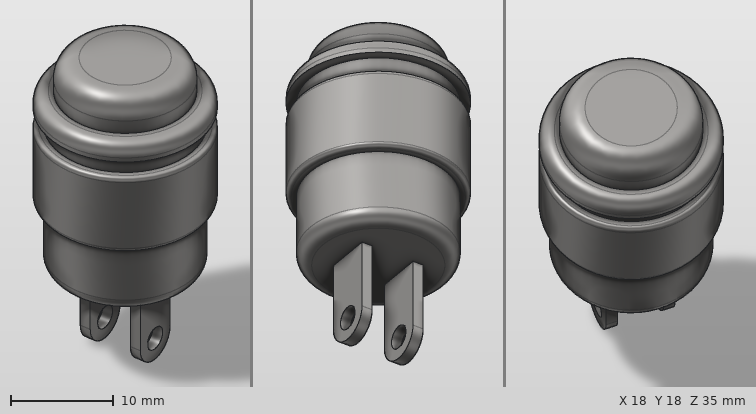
import cadquery as cq

terminal_length = 10.0
lower_barrel_height = 8.0
sleeve_height = 9.0
groove_height = 2.0
flange_height = 2.0
button_height = 4.0

body_bottom = terminal_length
sleeve_bottom = body_bottom + lower_barrel_height
flange_bottom = sleeve_bottom + sleeve_height + groove_height
flange_top = flange_bottom + flange_height

body_diameter = 16.0
collar_diameter = 18.0
button_diameter = 14.0
body_bottom_fillet = 1.5
sleeve_fillet = 0.5
flange_fillet = 1.5
button_fillet = 2.5

terminal_thickness = 1.2
terminal_width = 5.0
terminal_spacing = 6.0
terminal_hole_diameter = 2.5


def cylinder(diameter, bottom, height):
    return cq.Workplane("XY").workplane(offset=bottom).circle(diameter / 2).extrude(height)


def make_housing():
    """Round barrel with a rounded lower edge, a raised sleeve and a domed-edge flange."""
    barrel = cylinder(body_diameter, body_bottom, flange_bottom - body_bottom)
    barrel = barrel.faces("<Z").edges().fillet(body_bottom_fillet)
    sleeve = cylinder(collar_diameter, sleeve_bottom, sleeve_height)
    sleeve = sleeve.faces("<Z or >Z").edges().fillet(sleeve_fillet)
    flange = cylinder(collar_diameter, flange_bottom, flange_height)
    flange = flange.faces(">Z").edges().fillet(flange_fillet)
    return barrel.union(sleeve).union(flange)


def make_button():
    """Push button resting on the flange, with a rounded top edge."""
    button = cylinder(button_diameter, flange_top, button_height)
    return button.faces(">Z").edges().fillet(button_fillet)


def make_terminal(x_center):
    """Flat tab under the housing with a full-round tip and a wire hole at the tip's center."""
    tip_radius = terminal_width / 2
    outline = (
        cq.Workplane("YZ")
        .workplane(offset=x_center - terminal_thickness / 2)
        .moveTo(-tip_radius, terminal_length)
        .lineTo(-tip_radius, tip_radius)
        .threePointArc((0, 0), (tip_radius, tip_radius))
        .lineTo(tip_radius, terminal_length)
        .close()
        .moveTo(0, tip_radius)
        .circle(terminal_hole_diameter / 2)
    )
    return outline.extrude(terminal_thickness)


housing = make_housing()
button = make_button()
terminals = [make_terminal(side * terminal_spacing / 2) for side in (-1, 1)]

result = cq.Compound.makeCompound(
    [housing.val(), button.val(), *[terminal.val() for terminal in terminals]]
)